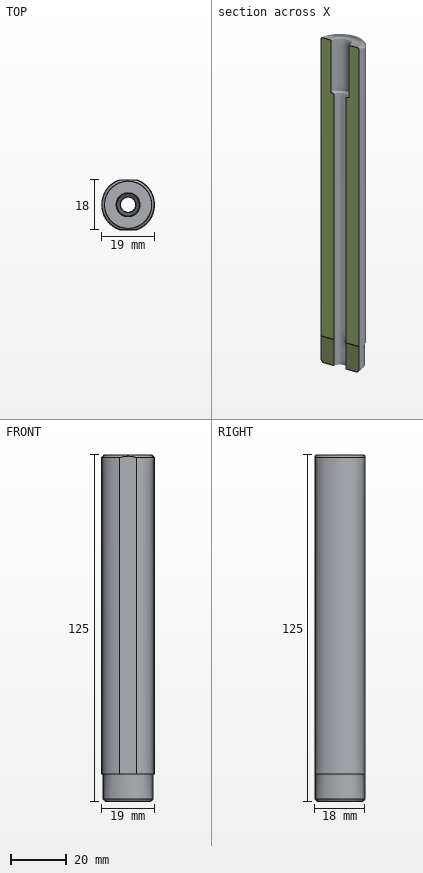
import cadquery as cq
import math

OVERALL_LENGTH = 125.0
TUBE_DIAMETER = 19.0
ACROSS_FLATS = 18.0
EDGE_CHAMFER = 1.0

COLLAR_DIAMETER = ACROSS_FLATS
COLLAR_LENGTH = 10.0
TUBE_LENGTH = OVERALL_LENGTH - COLLAR_LENGTH

THROUGH_DIAMETER = 5.5
SOCKET_DIAMETER = 8.2
SOCKET_DEPTH = 20.0
DRILL_POINT_ANGLE = 140.0
MOUTH_CHAMFER = 0.2


def make_bore():
    """Stepped hole: narrow passage, conical drill point, socket and chamfered mouth."""
    passage_radius = THROUGH_DIAMETER / 2
    socket_radius = SOCKET_DIAMETER / 2
    point_height = (socket_radius - passage_radius) / math.tan(math.radians(DRILL_POINT_ANGLE / 2))
    socket_floor = OVERALL_LENGTH - SOCKET_DEPTH
    return (
        cq.Workplane("XZ")
        .lineTo(passage_radius, 0)
        .lineTo(passage_radius, socket_floor - point_height)
        .lineTo(socket_radius, socket_floor)
        .lineTo(socket_radius, OVERALL_LENGTH - MOUTH_CHAMFER)
        .lineTo(socket_radius + MOUTH_CHAMFER, OVERALL_LENGTH)
        .lineTo(0, OVERALL_LENGTH)
        .close()
        .revolve(360, (0, 0), (0, 1))
    )


def make_tube():
    """Long round tube with a chamfered top rim and two flats facing -Y and +Y."""
    base = cq.Workplane("XY").workplane(offset=COLLAR_LENGTH)
    round_bar = base.circle(TUBE_DIAMETER / 2).extrude(TUBE_LENGTH).faces(">Z").chamfer(EDGE_CHAMFER)
    between_flats = base.rect(TUBE_DIAMETER, ACROSS_FLATS).extrude(TUBE_LENGTH)
    return round_bar.intersect(between_flats).cut(make_bore())


def make_collar():
    """Short round collar under the tube with a chamfered bottom rim."""
    disc = cq.Workplane("XY").circle(COLLAR_DIAMETER / 2).extrude(COLLAR_LENGTH)
    return disc.faces("<Z").chamfer(EDGE_CHAMFER).cut(make_bore())


tube = make_tube()
collar = make_collar()
result = cq.Compound.makeCompound([tube.val(), collar.val()])